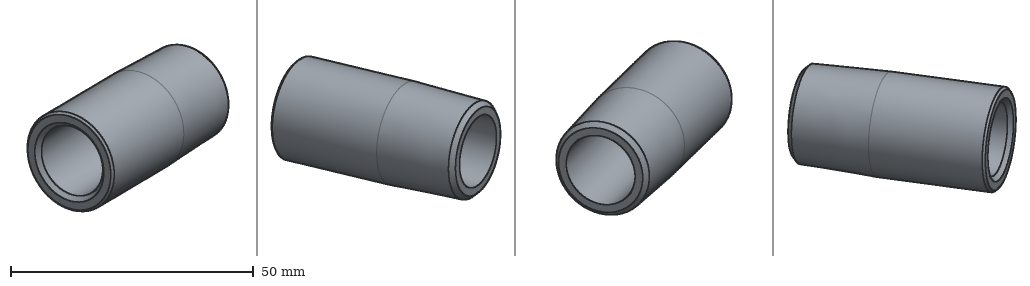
import cadquery as cq

length = 43.0
outer_radius = 11.0
bore_radius = 7.75

straight_length = 25.15
taper_end_radius = 10.5
tip_chamfer_length = 1.08
tip_radius = 9.45

outer_chamfer = 0.5
bore_chamfer = 1.0

front_y = -length / 2
back_y = length / 2
taper_start_y = front_y + straight_length
taper_end_y = back_y - tip_chamfer_length

wall_section = (
    cq.Workplane("ZY")
    .moveTo(bore_radius + bore_chamfer, front_y)
    .lineTo(outer_radius - outer_chamfer, front_y)
    .lineTo(outer_radius, front_y + outer_chamfer)
    .lineTo(outer_radius, taper_start_y)
    .lineTo(taper_end_radius, taper_end_y)
    .lineTo(tip_radius, back_y)
    .lineTo(bore_radius, back_y)
    .lineTo(bore_radius, front_y + bore_chamfer)
    .close()
)

result = wall_section.revolve(360, (0, 0, 0), (0, 1, 0))